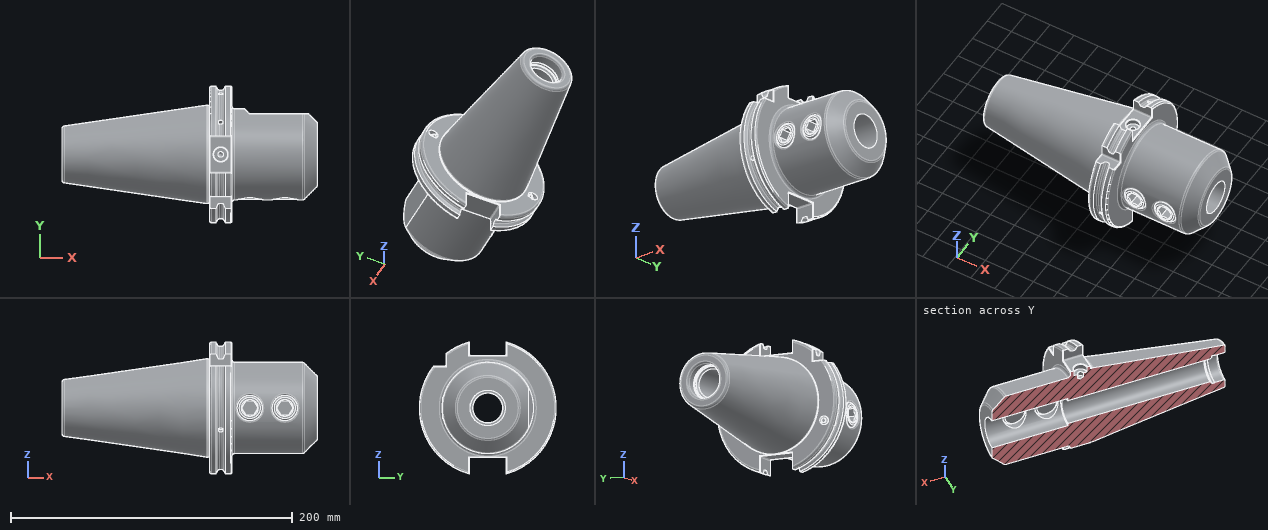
import cadquery as cq
import math

LENGTH = 181.8

SMALL_END_DIAMETER = 40.2
TAPER_SLOPE = 7 / 24
GAUGE_X = 102.9
SMALL_END_FILLET = 2.0
GAUGE_DIAMETER = SMALL_END_DIAMETER + TAPER_SLOPE * GAUGE_X

RELIEF_WIDTH = 1.0
RELIEF_DEPTH = 0.2

FLANGE_DIAMETER = 97.5
FLANGE_START_X = 104.9
FLANGE_END_X = 120.9
FLANGE_REAR_FILLET = 1.6
FLANGE_FRONT_FILLET = 1.0
GROOVE_CENTER_X = 112.9
GROOVE_TOP_WIDTH = 6.7
GROOVE_DEPTH = 2.9
GROOVE_ANGLE = 60.0
GROOVE_FILLET = 1.5
GROOVE_FLOOR_WIDTH = GROOVE_TOP_WIDTH - 2 * GROOVE_DEPTH * math.tan(math.radians(GROOVE_ANGLE / 2))
GROOVE_FLOOR_RADIUS = FLANGE_DIAMETER / 2 - GROOVE_DEPTH

KEYWAY_WIDTH = 26.2
TOP_KEYWAY_FLOOR = 37.5
BOTTOM_KEYWAY_FLOOR = 35.3
NOTCH_CORNER = 29.8
CUT_CORNER_FILLET = 0.5
CUT_EDGE_CHAMFER = 0.5

NOSE_DIAMETER = 65.0
NOSE_ROOT_FILLET = 2.0
NOSE_CHAMFER = 10.0
NOSE_EDGE_FILLET = 2.0
FLAT_Y = 29.0
FLAT_START_X = 133.2

THREAD_BORE_DIAMETER = 21.0
THREAD_CHAMFER = 1.5
PILOT_DIAMETER = 25.0
PILOT_DEPTH = 8.4
PILOT_FILLET = 1.5
UNDERCUT_WIDTH = 2.2
UNDERCUT_DEPTH = 0.4
CLAMP_BORE_DIAMETER = 25.0
CLAMP_BORE_DEPTH = 59.0

CHIP_HOLE_DIAMETER = 10.0
CHIP_HOLE_DEPTH = 4.5
CHIP_HOLE_CHAMFER = 0.4
CHIP_PILOT_DIAMETER = 4.0
CHIP_PILOT_DEPTH = 3.6
DRILL_POINT_ANGLE = 118.0

COOLANT_ANGLE = 20.0
COOLANT_RADIUS = 41.8
COOLANT_SLANT = 35.0
COOLANT_MOUTH_DIAMETER = 6.0
COOLANT_MOUTH_DEPTH = 2.2
COOLANT_DRILL_DIAMETER = 3.3
COOLANT_DRILL_DEPTH = 10.9

GROOVE_HOLE_DIAMETER = 3.3
GROOVE_HOLE_DEPTH = 5.5
GROOVE_HOLE_ANGLES = (COOLANT_ANGLE, 180 + COOLANT_ANGLE, 60.0)

SCREW_XS = (133.5, 158.5)
SCREW_DIAMETER = 18.0
SCREW_CHAMFER = 1.5
SCREW_TOP_Y = -32.2
SCREW_TIP_Y = -CLAMP_BORE_DIAMETER / 2
SCREW_HOLE_FILLET = 0.9
HEX_ACROSS_FLATS = 10.0
HEX_DEPTH = 9.0
HEX_COUNTERSINK_DIAMETER = 12.0


def turned(outline):
    """Solid of revolution about the tool axis from (x, radius) points."""
    return cq.Workplane("XY").polyline(outline).close().revolve(360, (0, 0, 0), (1, 0, 0))


def taper_shank():
    """Taper with a rounded small end, a short gauge land and the relief groove."""
    gauge_radius = GAUGE_DIAMETER / 2
    relief_radius = gauge_radius - RELIEF_DEPTH
    relief_start = FLANGE_START_X - RELIEF_WIDTH
    shank = turned([
        (0, 0),
        (0, SMALL_END_DIAMETER / 2),
        (GAUGE_X, gauge_radius),
        (relief_start, gauge_radius),
        (relief_start + RELIEF_DEPTH, relief_radius),
        (FLANGE_START_X, relief_radius),
        (FLANGE_START_X, 0),
    ])
    return shank.faces("<X").edges().fillet(SMALL_END_FILLET)


def grooved_flange():
    """Round flange with rounded rims and a V-groove."""
    radius = FLANGE_DIAMETER / 2
    half_top = GROOVE_TOP_WIDTH / 2
    half_floor = GROOVE_FLOOR_WIDTH / 2
    flange = turned([
        (FLANGE_START_X, 0),
        (FLANGE_START_X, radius),
        (GROOVE_CENTER_X - half_top, radius),
        (GROOVE_CENTER_X - half_floor, GROOVE_FLOOR_RADIUS),
        (GROOVE_CENTER_X + half_floor, GROOVE_FLOOR_RADIUS),
        (GROOVE_CENTER_X + half_top, radius),
        (FLANGE_END_X, radius),
        (FLANGE_END_X, 0),
    ])
    groove_floor_edges = cq.selectors.RadiusNthSelector(0)
    flange = flange.edges(groove_floor_edges).fillet(GROOVE_FILLET)
    flange = flange.faces("<X").edges().fillet(FLANGE_REAR_FILLET)
    return flange.faces(">X").edges().fillet(FLANGE_FRONT_FILLET)


def round_nose():
    """Cylindrical nose with a filleted root and a 45 degree end chamfer with rounded edges."""
    radius = NOSE_DIAMETER / 2
    root = NOSE_ROOT_FILLET
    nose = (
        cq.Workplane("XY")
        .moveTo(FLANGE_END_X, 0)
        .lineTo(FLANGE_END_X, radius + root)
        .radiusArc((FLANGE_END_X + root, radius), -root)
        .lineTo(LENGTH - NOSE_CHAMFER, radius)
        .lineTo(LENGTH, radius - NOSE_CHAMFER)
        .lineTo(LENGTH, 0)
        .close()
        .revolve(360, (0, 0, 0), (1, 0, 0))
    )
    nose = nose.faces(">X").edges().fillet(NOSE_EDGE_FILLET)
    chamfer_start = cq.selectors.NearestToPointSelector((LENGTH - NOSE_CHAMFER, 0, 0))
    return nose.edges(chamfer_start).fillet(NOSE_EDGE_FILLET)


def flange_cuts():
    """Two keyways and the orientation notch."""
    outside = FLANGE_DIAMETER
    width = FLANGE_END_X - FLANGE_START_X

    def block(y_min, y_max, z_min, z_max):
        center_y = (y_min + y_max) / 2
        center_z = (z_min + z_max) / 2
        size_y = y_max - y_min
        size_z = z_max - z_min
        rear = cq.Plane(origin=(FLANGE_START_X, center_y, center_z), xDir=(0, 1, 0), normal=(1, 0, 0))
        front = cq.Plane(origin=(FLANGE_END_X, center_y, center_z), xDir=(0, 1, 0), normal=(-1, 0, 0))
        body = cq.Workplane(rear).rect(size_y, size_z).extrude(width)
        body = body.edges("|X").fillet(CUT_CORNER_FILLET)
        for end in (rear, front):
            flare = cq.Workplane(end).rect(size_y + 2 * CUT_EDGE_CHAMFER, size_z + 2 * CUT_EDGE_CHAMFER)
            body = body.union(flare.extrude(CUT_EDGE_CHAMFER, taper=45))
        return body

    half = KEYWAY_WIDTH / 2
    top = block(-half, half, TOP_KEYWAY_FLOOR, outside)
    bottom = block(-half, half, -outside, -BOTTOM_KEYWAY_FLOOR)
    notch = block(-outside, -NOTCH_CORNER, NOTCH_CORNER, outside)
    return top.union(bottom).union(notch)


def nose_flat():
    """Material beyond a flat on the +Y side of the nose, with a 45 degree run-out."""
    rise = 2 * (NOSE_DIAMETER / 2 - FLAT_Y)
    return (
        cq.Workplane("XY", origin=(0, 0, -NOSE_DIAMETER / 2))
        .polyline([
            (FLAT_START_X, FLAT_Y),
            (LENGTH, FLAT_Y),
            (LENGTH, FLAT_Y + rise),
            (FLAT_START_X - rise, FLAT_Y + rise),
        ])
        .close()
        .extrude(NOSE_DIAMETER)
    )


def axial_bores():
    """Rear pilot bore, thread bore and front clamping bore."""
    pilot = PILOT_DIAMETER / 2
    thread = THREAD_BORE_DIAMETER / 2
    clamp = CLAMP_BORE_DIAMETER / 2
    undercut_end = PILOT_DEPTH + UNDERCUT_WIDTH
    clamp_start = LENGTH - CLAMP_BORE_DEPTH
    return turned([
        (0, 0),
        (0, pilot),
        (PILOT_DEPTH, pilot),
        (PILOT_DEPTH, pilot + UNDERCUT_DEPTH),
        (undercut_end, pilot + UNDERCUT_DEPTH),
        (undercut_end, thread + THREAD_CHAMFER),
        (undercut_end + THREAD_CHAMFER, thread),
        (clamp_start, thread),
        (clamp_start, clamp),
        (LENGTH, clamp),
        (LENGTH, 0),
    ])


def chip_hole():
    """Stepped blind hole in the top keyway floor, ending in a drill point."""
    chip_radius = CHIP_HOLE_DIAMETER / 2
    pilot_radius = CHIP_PILOT_DIAMETER / 2
    step_z = TOP_KEYWAY_FLOOR - CHIP_HOLE_DEPTH
    pilot_z = step_z - CHIP_PILOT_DEPTH
    tip_z = pilot_z - pilot_radius / math.tan(math.radians(DRILL_POINT_ANGLE / 2))
    return (
        cq.Workplane("XZ", origin=(GROOVE_CENTER_X, 0, 0))
        .polyline([
            (0, tip_z),
            (pilot_radius, pilot_z),
            (pilot_radius, step_z),
            (chip_radius, step_z),
            (chip_radius, TOP_KEYWAY_FLOOR - CHIP_HOLE_CHAMFER),
            (chip_radius + CHIP_HOLE_CHAMFER, TOP_KEYWAY_FLOOR),
            (0, TOP_KEYWAY_FLOOR),
        ])
        .close()
        .revolve(360, (0, 0, 0), (0, 1, 0))
    )


def radial_direction(angle):
    """Unit vector across the tool axis, turned by angle degrees from +Y toward +Z."""
    return cq.Vector(0, math.cos(math.radians(angle)), math.sin(math.radians(angle)))


def coolant_channel(angle):
    """Wide mouth in the flange face and a narrower drilled hole on the same slanted axis."""
    slant = math.radians(COOLANT_SLANT)
    outward = radial_direction(angle)
    direction = cq.Vector(math.cos(slant), 0, 0) - outward * math.sin(slant)
    start = cq.Vector(FLANGE_START_X, 0, 0) + outward * COOLANT_RADIUS
    lead = COOLANT_MOUTH_DIAMETER
    mouth = cq.Solid.makeCylinder(
        COOLANT_MOUTH_DIAMETER / 2, COOLANT_MOUTH_DEPTH + lead, start - direction * lead, direction)
    drill = cq.Solid.makeCylinder(COOLANT_DRILL_DIAMETER / 2, COOLANT_DRILL_DEPTH, start, direction)
    return cq.Workplane(mouth).union(cq.Workplane(drill))


def groove_hole(angle):
    """Radial blind hole in the floor of the V-groove."""
    outward = radial_direction(angle)
    bottom = cq.Vector(GROOVE_CENTER_X, 0, 0) + outward * (GROOVE_FLOOR_RADIUS - GROOVE_HOLE_DEPTH)
    length = GROOVE_HOLE_DEPTH + GROOVE_DEPTH
    return cq.Workplane(cq.Solid.makeCylinder(GROOVE_HOLE_DIAMETER / 2, length, bottom, outward))


def screw_hole(x):
    """Threaded hole from the nose surface to the clamping bore."""
    return cq.Workplane("XZ", origin=(x, 0, 0)).circle(SCREW_DIAMETER / 2).extrude(NOSE_DIAMETER / 2)


def clamping_screw(x):
    """Set screw with chamfered ends and a countersunk hexagon socket."""
    facing_out = cq.Plane(origin=(x, SCREW_TOP_Y, 0), xDir=(1, 0, 0), normal=(0, -1, 0))
    hex_corners = HEX_ACROSS_FLATS / math.cos(math.pi / 6)
    mouth_radius = HEX_COUNTERSINK_DIAMETER / 2
    body = (
        cq.Workplane(facing_out)
        .circle(SCREW_DIAMETER / 2)
        .extrude(SCREW_TOP_Y - SCREW_TIP_Y)
        .faces("<Y or >Y").edges().chamfer(SCREW_CHAMFER)
    )
    socket = cq.Workplane(facing_out).polygon(6, hex_corners).extrude(-HEX_DEPTH)
    mouth = cq.Solid.makeCone(
        mouth_radius, 0, mouth_radius,
        cq.Vector(x, SCREW_TOP_Y, 0), cq.Vector(0, 1, 0))
    return body.cut(socket).cut(cq.Workplane(mouth))


def tool_holder():
    """Holder body with all its cuts."""
    body = taper_shank().union(grooved_flange()).union(round_nose())
    body = body.cut(flange_cuts()).cut(nose_flat()).cut(axial_bores()).cut(chip_hole())
    pilot_mouth = cq.selectors.RadiusNthSelector(0)
    body = body.faces("<X").edges(pilot_mouth).fillet(PILOT_FILLET)
    for side in (0, 180):
        body = body.cut(coolant_channel(COOLANT_ANGLE + side))
    for angle in GROOVE_HOLE_ANGLES:
        body = body.cut(groove_hole(angle))
    for x in SCREW_XS:
        body = body.cut(screw_hole(x))
        screw_mouth = cq.selectors.NearestToPointSelector((x, -NOSE_DIAMETER / 2, 0))
        body = body.edges(screw_mouth).fillet(SCREW_HOLE_FILLET)
    return body


holder = tool_holder()
screws = [clamping_screw(x).val() for x in SCREW_XS]

result = cq.Compound.makeCompound([holder.val(), *screws])